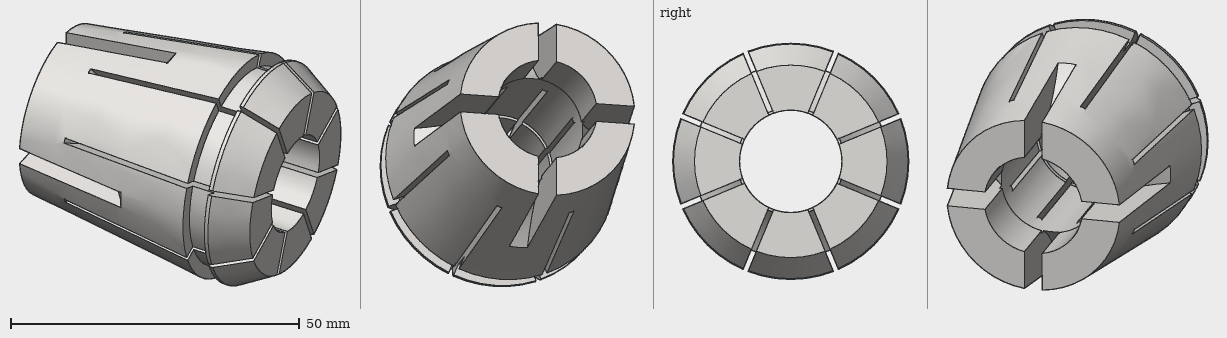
import cadquery as cq
import math

length = 46.0
cone_length = 34.85
cone_end_diameter = 41.0
cone_half_angle = 8.0

groove_width = 4.15
groove_diameter = 36.2
rim_width = 0.7
rim_diameter = 40.65
nose_half_angle = 30.0

bore_diameter = 17.7
relief_diameter = 18.65
land_length = 11.05

cutter_radius = 22.1
cutter_axis_radius = 28.65

slot_count = 4
slot_width = 3.2
slot_cutter_x = 2.0

slit_count = 8
slit_width = 0.9
slit_cutter_x = 27.55
first_slit_angle = 180.0 / slit_count

overrun = 2.3


def collet_body():
    """Taper, groove and nose, revolved as a solid around the X axis."""
    cone_end_radius = cone_end_diameter / 2
    tail_radius = cone_end_radius - cone_length * math.tan(math.radians(cone_half_angle))
    groove_end = cone_length + groove_width
    rim_end = groove_end + rim_width
    rim_radius = rim_diameter / 2
    nose_radius = rim_radius - (length - rim_end) * math.tan(math.radians(nose_half_angle))
    profile = [
        (0, 0),
        (0, tail_radius),
        (cone_length, cone_end_radius),
        (cone_length, groove_diameter / 2),
        (groove_end, groove_diameter / 2),
        (groove_end, rim_radius),
        (rim_end, rim_radius),
        (length, nose_radius),
        (length, 0),
    ]
    return cq.Workplane("XY").polyline(profile).close().revolve(360, (0, 0, 0), (1, 0, 0))


def relieved_bore():
    """Through bore with a wider relief between the end lands."""
    bore = cq.Workplane("YZ").circle(bore_diameter / 2).extrude(length)
    relief_length = length - 2 * land_length
    relief = cq.Workplane("YZ", origin=(land_length, 0, 0)).circle(relief_diameter / 2).extrude(relief_length)
    return bore.union(relief)


def radial_cut(width, cutter_x, open_x):
    """Path of the disc cutter from cutter_x out past the open end, on the +Y side."""
    disc = (
        cq.Workplane("XY")
        .center(cutter_x, cutter_axis_radius)
        .circle(cutter_radius)
        .extrude(width / 2, both=True)
    )
    path_length = abs(open_x - cutter_x)
    path = (
        cq.Workplane("XY")
        .center((cutter_x + open_x) / 2, cutter_axis_radius)
        .rect(path_length, 2 * cutter_radius)
        .extrude(width / 2, both=True)
    )
    return disc.union(path)


def cut_around(body, cut, count, first_angle):
    """Remove equally spaced copies of a cut around the X axis."""
    for index in range(count):
        angle = first_angle + index * 360.0 / count
        body = body.cut(cut.rotate((0, 0, 0), (1, 0, 0), angle))
    return body


collet = collet_body().cut(relieved_bore())

slot = radial_cut(slot_width, slot_cutter_x, -overrun)
collet = cut_around(collet, slot, slot_count, 0.0)

slit = radial_cut(slit_width, slit_cutter_x, length + overrun)
result = cut_around(collet, slit, slit_count, first_slit_angle)